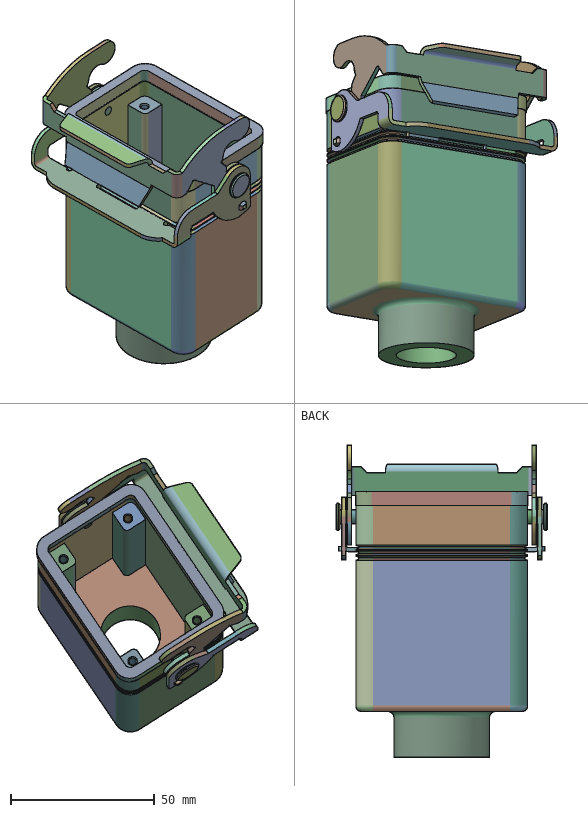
import cadquery as cq
import math

rim_length = 60.15
rim_width = 44.0
rim_height = 4.9
rim_corner = 5.7
body_length = 60.0
body_width = 43.4
body_corner = 6.0
body_bottom = 16.0
body_bottom_fillet = 2.0
housing_top = 92.8

nozzle_diameter = 33.5
nozzle_bore = 21.0
nozzle_fillet = 2.0

groove_count = 3
groove_mouth = 1.5
groove_floor = 0.5
groove_depth = 1.0
groove_land = 0.4
groove_top = 74.1

mouth_length = 52.6
mouth_width = 36.0
mouth_corner = 2.0
undercut = 0.4
cavity_floor = 19.0

post_side = 8.0
post_corner = 1.7
post_top = 81.2
screw_x = 22.0
screw_y = 13.45
screw_diameter = 2.5
screw_sink = 3.3
screw_depth = 12.0
drill_tip_angle = 118.0
drill_tip_height = screw_diameter / 2 / math.tan(math.radians(drill_tip_angle / 2))

sheet = 1.5
pivot_y = 0.0
pivot_z = 84.0
spigot_diameter = 3.2
shank_diameter = 5.0
head_diameter = 9.5
head_chamfer = 0.5
pin_end = 37.0
head_thickness = 1.5

lever_outside = 33.0
lever_front = -28.25
lever_bend = 2.7
strip_bottom = 91.4
strip_top = 101.5
strip_recess_half = 26.1
strip_recess_slope = 2.0
latch_top = 109.0
hook_radius = 4.4
hook_center = (4.2, latch_top - hook_radius)
hook_to_notch_angle = -122.0
foot_radius = 8.0
foot_center = (-1.3, 82.1)
hub_radius = 6.7
back_curve_start = (-3.9, latch_top)
back_curve_end = (-25.5, 101.6)
underside_front = (-23.6, strip_bottom)
underside_peak = ((-20.2, 95.2), (-19.5, 95.2))
underside_rear_z = 87.0
neck_low = (-3.2, 92.3)
neck_high = (-5.65, 95.3)

strip_recess_top = 99.4
lip_root_half = 19.7
lip_tip_half = 16.5
lip_tip = -35.98
lip_top = 102.4
tab_root_half = 20.5
tab_tip_half = 17.5
tab_tip_z = 81.7
tab_corner = 1.3
lip_corner = 2.0
knee_z = 89.2
knee_rise = 0.3
tab_tip_inner_y = -30.4
tab_tip_outer_y = -31.7
tab_tip_rise = 0.6

frame_outside = 35.0
frame_bend = 2.5
frame_bottom = 71.8
frame_front = -30.3
frame_rear = -23.4
crown_radius = 6.85
crown_end_angle = 129.5
arm_top = 84.85
arm_bottom = 77.9
arm_chamfer = 0.9
elbow_radius = 7.7
shoulder_y = -9.7
lobe_start = (-11.8, arm_bottom)
lobe_middle = (-5.5, 71.05)
lobe_bottom = (1.0, 69.0)
lobe_corner_start = (5.4, 69.75)
lobe_corner_end_z = 70.5

tongue_inner = 9.7
tongue_outer = 22.2
tongue_back = -21.75
tongue_bottom = 70.7
relief_depth = 1.1
tongue_bend = 1.2
relief_radius = 1.0
notch_corner = 0.8
nose_front = -33.9
nose_half = 27.8
nose_flat_half = 21.0
nose_curve_middle = (24.8, -32.8)

detent_y = 2.9
detent_z = 72.85
detent_window = 3.5
detent_height = 1.7
detent_rise = 1.0


def polar(center, radius, degrees):
    """Point at a given angle on a circle."""
    angle = math.radians(degrees)
    return center[0] + radius * math.cos(angle), center[1] + radius * math.sin(angle)


def rounded_block(length, width, corner, bottom, top):
    """Upright block with rounded vertical edges, centred on the Z axis."""
    block = cq.Workplane("XY").workplane(offset=bottom).rect(length, width).extrude(top - bottom)
    return block.edges("|Z").fillet(corner)


def both_sides(solid):
    """The solid joined with its mirror image across the YZ plane."""
    return solid.union(solid.mirror("YZ"))


def body_section(z, inset):
    """Outline of the body at a height, set in from the outer wall."""
    sketch = cq.Sketch().rect(body_length - 2 * inset, body_width - 2 * inset)
    return sketch.vertices().fillet(body_corner - inset).moved(cq.Location(cq.Vector(0, 0, z)))


def body_taper(z_low, inset_low, z_high, inset_high):
    """Piece of the body whose wall slopes between two heights."""
    low = body_section(z_low, inset_low)
    high = body_section(z_high, inset_high)
    return cq.Workplane("XY").placeSketch(low, high).loft(ruled=True)


def groove(top):
    """Ring of material to remove for one groove with sloping flanks."""
    bottom = top - groove_mouth
    flank = (groove_mouth - groove_floor) / 2
    core = body_taper(top - flank, groove_depth, top, 0)
    core = core.union(body_taper(bottom + flank, groove_depth, top - flank, groove_depth))
    core = core.union(body_taper(bottom, 0, bottom + flank, groove_depth))
    return rounded_block(rim_length, rim_width, rim_corner, bottom, top).cut(core)


def post(side_x, side_y):
    """Corner post that carries a screw hole."""
    wall_x = mouth_length / 2 + undercut
    wall_y = mouth_width / 2 + undercut
    side = post_side + undercut
    block = (
        cq.Workplane("XY")
        .workplane(offset=cavity_floor)
        .center(side_x * (wall_x - side / 2), side_y * (wall_y - side / 2))
        .rect(side, side)
        .extrude(post_top - cavity_floor)
    )
    inner_x = "<X" if side_x > 0 else ">X"
    inner_y = "<Y" if side_y > 0 else ">Y"
    return block.edges(f"|Z and {inner_x} and {inner_y}").fillet(post_corner)


def screw_hole(x, y):
    """Countersunk blind hole with a drill tip."""
    half = screw_diameter / 2
    sink = screw_sink / 2
    floor = post_top - screw_depth
    return (
        cq.Workplane("XZ")
        .moveTo(0, floor - drill_tip_height)
        .lineTo(half, floor)
        .lineTo(half, post_top - (sink - half))
        .lineTo(sink, post_top)
        .lineTo(0, post_top)
        .close()
        .revolve(360, (0, 0), (0, 1))
        .translate((x, y, 0))
    )


def make_housing():
    rim_bottom = housing_top - rim_height
    shell = rounded_block(body_length, body_width, body_corner, body_bottom, rim_bottom)
    shell = shell.faces("<Z").edges().fillet(body_bottom_fillet)
    shell = shell.union(cq.Workplane("XY").circle(nozzle_diameter / 2).extrude(body_bottom))
    reach = nozzle_diameter / 2 + nozzle_fillet
    nozzle_joint = cq.selectors.BoxSelector(
        (-reach, -reach, body_bottom / 2), (reach, reach, body_bottom + body_bottom_fillet / 2)
    )
    shell = shell.edges(nozzle_joint).edges("%CIRCLE").fillet(nozzle_fillet)
    shell = shell.union(rounded_block(rim_length, rim_width, rim_corner, rim_bottom, housing_top))

    for index in range(groove_count):
        shell = shell.cut(groove(groove_top - index * (groove_mouth + groove_land)))

    cavity = rounded_block(
        mouth_length + 2 * undercut,
        mouth_width + 2 * undercut,
        mouth_corner + undercut,
        cavity_floor,
        rim_bottom,
    )
    corners = [(x, y) for x in (-1, 1) for y in (-1, 1)]
    for side_x, side_y in corners:
        cavity = cavity.cut(post(side_x, side_y))
    shell = shell.cut(cavity)
    shell = shell.cut(rounded_block(mouth_length, mouth_width, mouth_corner, rim_bottom, housing_top))
    shell = shell.cut(cq.Workplane("XY").circle(nozzle_bore / 2).extrude(cavity_floor))
    for side_x, side_y in corners:
        shell = shell.cut(screw_hole(side_x * screw_x, side_y * screw_y))

    pin_hole = (
        cq.Workplane("YZ")
        .workplane(offset=-rim_length)
        .center(pivot_y, pivot_z)
        .circle(spigot_diameter / 2)
        .extrude(2 * rim_length)
    )
    return shell.cut(pin_hole)


def lever_side_profile():
    """Side outline of the hooked lever, extruded across its full width."""
    notch_center = polar(hook_center, 2 * hook_radius, hook_to_notch_angle)
    notch_start_angle = hook_to_notch_angle + 180
    notch_end_angle = 180
    pivot = (pivot_y, pivot_z)
    return (
        cq.Workplane("YZ")
        .workplane(offset=-lever_outside)
        .moveTo(hook_center[0], latch_top)
        .lineTo(*back_curve_start)
        .tangentArcPoint(back_curve_end, relative=False)
        .lineTo(lever_front, strip_top)
        .lineTo(lever_front, strip_bottom)
        .lineTo(*underside_front)
        .lineTo(*underside_peak[0])
        .lineTo(*underside_peak[1])
        .lineTo(foot_center[0] - foot_radius, underside_rear_z)
        .lineTo(foot_center[0] - foot_radius, foot_center[1])
        .threePointArc(
            (foot_center[0], foot_center[1] - foot_radius),
            (foot_center[0] + foot_radius, foot_center[1]),
        )
        .lineTo(foot_center[0] + foot_radius, pivot_z)
        .threePointArc(polar(pivot, hub_radius, 60), polar(pivot, hub_radius, 118))
        .lineTo(*neck_low)
        .lineTo(*neck_high)
        .lineTo(*polar(notch_center, hook_radius, notch_end_angle))
        .threePointArc(
            polar(notch_center, hook_radius, (notch_start_angle + notch_end_angle) / 2),
            polar(notch_center, hook_radius, notch_start_angle),
        )
        .threePointArc(
            polar(hook_center, hook_radius, (hook_to_notch_angle + 90) / 2),
            (hook_center[0], latch_top),
        )
        .close()
        .extrude(2 * lever_outside)
    )


def lever_band():
    """U-shaped strip in plan: two sides joined by a front with bent corners."""
    length = -2 * lever_front
    inside = lever_outside - sheet
    outer = (
        cq.Workplane("XY")
        .rect(2 * lever_outside, length)
        .extrude(latch_top)
        .edges("|Z and <Y")
        .fillet(lever_bend)
    )
    inner = (
        cq.Workplane("XY")
        .center(0, sheet)
        .rect(2 * inside, length)
        .extrude(latch_top)
        .edges("|Z and <Y")
        .fillet(lever_bend - sheet)
    )
    return outer.cut(inner).translate((0, lever_front + length / 2, 0))


def strip_recess():
    """Shallow trapezoid taken from the top edge of the front strip."""
    clearance = 1.0
    top = strip_top + clearance
    top_half = strip_recess_half + strip_recess_slope + clearance
    corners = [
        (-strip_recess_half, strip_recess_top),
        (strip_recess_half, strip_recess_top),
        (top_half, top),
        (-top_half, top),
    ]
    back = lever_front + sheet
    return cq.Workplane("XZ").workplane(offset=-back).polyline(corners).close().extrude(2 * sheet)


def upper_lip():
    """Finger lip bent forward from the top of the strip."""
    back = lever_front + sheet
    bend = lever_bend
    section = (
        cq.Workplane("YZ")
        .workplane(offset=-lip_root_half)
        .moveTo(back, strip_recess_top - sheet)
        .lineTo(back, lip_top - bend)
        .radiusArc((back - bend, lip_top), -bend)
        .lineTo(lip_tip, lip_top)
        .lineTo(lip_tip, lip_top - sheet)
        .lineTo(back - bend, lip_top - sheet)
        .radiusArc((lever_front, lip_top - bend), bend - sheet)
        .lineTo(lever_front, strip_recess_top - sheet)
        .close()
        .extrude(2 * lip_root_half)
    )
    outline = [
        (-lip_root_half, back),
        (lip_root_half, back),
        (lip_tip_half, lip_tip),
        (-lip_tip_half, lip_tip),
    ]
    plan = (
        cq.Workplane("XY")
        .workplane(offset=strip_bottom)
        .polyline(outline)
        .close()
        .extrude(latch_top - strip_bottom)
        .edges("|Z and <Y")
        .fillet(lip_corner)
    )
    return section.intersect(plan)


def lower_tab():
    """Tab that hangs below the strip and slants forward."""
    back = lever_front + sheet
    section = (
        cq.Workplane("YZ")
        .workplane(offset=-tab_root_half)
        .polyline(
            [
                (back, strip_bottom),
                (back, knee_z),
                (tab_tip_inner_y, tab_tip_z),
                (tab_tip_outer_y, tab_tip_z + tab_tip_rise),
                (lever_front, knee_z + knee_rise),
                (lever_front, strip_bottom),
            ]
        )
        .close()
        .extrude(2 * tab_root_half)
    )
    front = (
        cq.Workplane("XZ")
        .polyline(
            [
                (-tab_root_half, strip_bottom),
                (tab_root_half, strip_bottom),
                (tab_tip_half, tab_tip_z),
                (-tab_tip_half, tab_tip_z),
            ]
        )
        .close()
        .extrude(-tab_tip_outer_y)
        .edges("|Y and <Z")
        .fillet(tab_corner)
    )
    return section.intersect(front)


def make_lever():
    lever = lever_band().intersect(lever_side_profile())
    return lever.cut(strip_recess()).union(upper_lip()).union(lower_tab())


def frame_plate():
    """Side plate of the frame with its curved arm."""
    pivot = (pivot_y, pivot_z)
    arc_middle_angle = crown_end_angle / 2
    return (
        cq.Workplane("YZ")
        .workplane(offset=frame_outside - sheet)
        .moveTo(crown_radius, pivot_z)
        .threePointArc(
            polar(pivot, crown_radius, arc_middle_angle),
            polar(pivot, crown_radius, crown_end_angle),
        )
        .lineTo(shoulder_y, arm_top)
        .lineTo(frame_front + elbow_radius, arm_top)
        .radiusArc((frame_front, arm_top - elbow_radius), -elbow_radius)
        .lineTo(frame_front, frame_bottom + frame_bend)
        .lineTo(frame_rear, frame_bottom + frame_bend)
        .lineTo(frame_rear, arm_bottom - arm_chamfer)
        .lineTo(frame_rear + arm_chamfer, arm_bottom)
        .lineTo(*lobe_start)
        .threePointArc(lobe_middle, lobe_bottom)
        .lineTo(*lobe_corner_start)
        .lineTo(crown_radius, lobe_corner_end_z)
        .close()
        .extrude(sheet)
    )


def frame_channel():
    """Bottom web of the frame with its two bent corners."""
    height = 2 * frame_bend
    depth = frame_rear - frame_front
    middle = (0, (frame_front + frame_rear) / 2, frame_bottom + height / 2)
    outer = cq.Workplane("XY").box(2 * frame_outside, depth, height)
    outer = outer.edges("|Y and <Z").fillet(frame_bend)
    inner = cq.Workplane("XY").box(2 * (frame_outside - sheet), depth, height)
    inner = inner.edges("|Y and <Z").fillet(frame_bend - sheet)
    return outer.cut(inner.translate((0, 0, sheet))).translate(middle)


def frame_nose():
    """Part of the web that reaches forward of the side plates."""
    middle_x, middle_y = nose_curve_middle
    return (
        cq.Workplane("XY")
        .workplane(offset=frame_bottom)
        .moveTo(-nose_half, frame_front)
        .threePointArc((-middle_x, middle_y), (-nose_flat_half, nose_front))
        .lineTo(nose_flat_half, nose_front)
        .threePointArc((middle_x, middle_y), (nose_half, frame_front))
        .close()
        .extrude(sheet)
    )


def frame_tongue():
    """Tongue bent down from the rear edge of the web against the housing."""
    return (
        cq.Workplane("YZ")
        .workplane(offset=tongue_inner)
        .moveTo(frame_rear, tongue_bottom)
        .lineTo(tongue_back, tongue_bottom)
        .lineTo(tongue_back, frame_bottom + sheet - tongue_bend)
        .radiusArc((tongue_back - tongue_bend, frame_bottom + sheet), -tongue_bend)
        .lineTo(frame_rear, frame_bottom + sheet)
        .close()
        .extrude(tongue_outer - tongue_inner)
    )


def frame_reliefs():
    """Notch between the tongues and a small round relief beside each one."""
    notch = cq.Workplane("XY").box(2 * tongue_inner, 2 * relief_depth, 3 * sheet)
    notch = notch.edges("|Z and <Y").fillet(notch_corner)
    round_relief = cq.Workplane("XY").cylinder(3 * sheet, relief_radius)
    round_relief = both_sides(round_relief.translate((tongue_outer + relief_radius, 0, 0)))
    return notch.union(round_relief).translate((0, frame_rear, frame_bottom))


def detent(solid):
    """Pressed bridge standing out of a round window in the side plate."""
    half = detent_window / 2
    inside = frame_outside - sheet
    opening = cq.Workplane("YZ").workplane(offset=inside).center(detent_y, detent_z)
    opening = opening.circle(half).extrude(sheet)
    bridge = (
        cq.Workplane("XY")
        .workplane(offset=detent_z - detent_height / 2)
        .moveTo(inside, detent_y - half)
        .lineTo(frame_outside, detent_y - half)
        .lineTo(frame_outside + detent_rise, detent_y - half / 2)
        .lineTo(frame_outside + detent_rise, detent_y + half / 2)
        .lineTo(frame_outside, detent_y + half)
        .lineTo(inside, detent_y + half)
        .close()
        .extrude(detent_height)
    )
    return solid.cut(opening).union(bridge)


def make_frame():
    frame = both_sides(detent(frame_plate())).union(frame_channel()).union(frame_nose())
    return frame.union(both_sides(frame_tongue())).cut(frame_reliefs())


def pivot_pin():
    """Stepped pin: spigot through the housing wall, shank and chamfered head."""
    cavity_wall = mouth_length / 2 + undercut
    housing_wall = body_length / 2
    spigot = cq.Workplane("YZ").workplane(offset=cavity_wall).circle(spigot_diameter / 2)
    pin = spigot.extrude(housing_wall - cavity_wall)
    shank = cq.Workplane("YZ").workplane(offset=housing_wall).circle(shank_diameter / 2)
    pin = pin.union(shank.extrude(pin_end - housing_wall))
    head = cq.Workplane("YZ").workplane(offset=pin_end - head_thickness).circle(head_diameter / 2)
    head = head.extrude(head_thickness).edges().chamfer(head_chamfer)
    return pin.union(head).translate((0, pivot_y, pivot_z))


def make_latch():
    return make_lever().union(both_sides(pivot_pin())).union(make_frame())


housing = make_housing()
latch = make_latch()
result = cq.Compound.makeCompound([housing.val(), latch.val()])